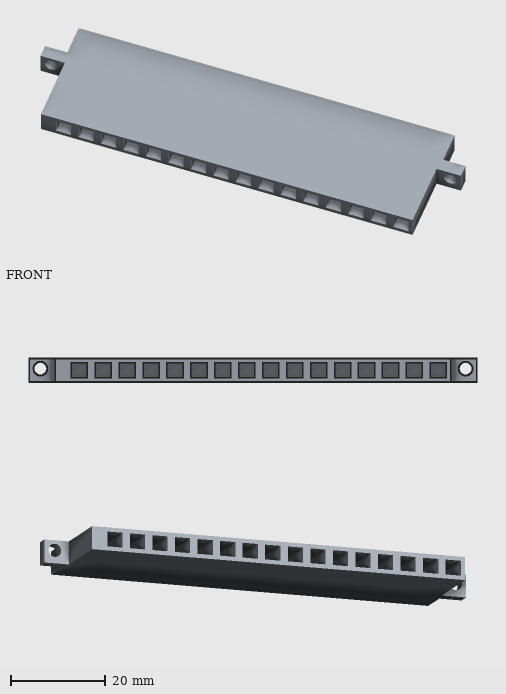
import cadquery as cq

overall_length = 94.9
overall_depth = 24.7
thickness = 5.0

front_width = 83.9
rear_width = 84.8

ear_front_y = 14.8
ear_depth = 2.8
ear_hole_diameter = 2.8
ear_hole_end_distance = 2.4
ear_hole_height = 2.8

pocket_count = 16
pocket_row_span = 76.1
pocket_pitch = pocket_row_span / (pocket_count - 1)
pocket_row_offset = 1.2
pocket_width = 3.4
pocket_height = 3.2
pocket_depth = ear_front_y


def block(width, front_y, back_y):
    """Full-thickness block, centred on X, standing on Z = 0."""
    return (
        cq.Workplane("XY")
        .box(width, back_y - front_y, thickness, centered=(True, False, False))
        .translate((0, front_y, 0))
    )


def make_body():
    ear_back_y = ear_front_y + ear_depth
    front_block = block(front_width, 0, ear_back_y)
    ear_bar = block(overall_length, ear_front_y, ear_back_y)
    rear_block = block(rear_width, ear_back_y, overall_depth)
    return front_block.union(ear_bar).union(rear_block)


def make_pockets():
    first_x = pocket_row_offset - pocket_row_span / 2
    centres = [(first_x + i * pocket_pitch, thickness / 2) for i in range(pocket_count)]
    return (
        cq.Workplane("XZ")
        .pushPoints(centres)
        .rect(pocket_width, pocket_height)
        .extrude(-pocket_depth)
    )


def make_ear_holes():
    hole_x = overall_length / 2 - ear_hole_end_distance
    return (
        cq.Workplane("XZ")
        .pushPoints([(-hole_x, ear_hole_height), (hole_x, ear_hole_height)])
        .circle(ear_hole_diameter / 2)
        .extrude(-overall_depth)
    )


result = make_body().cut(make_pockets()).cut(make_ear_holes())